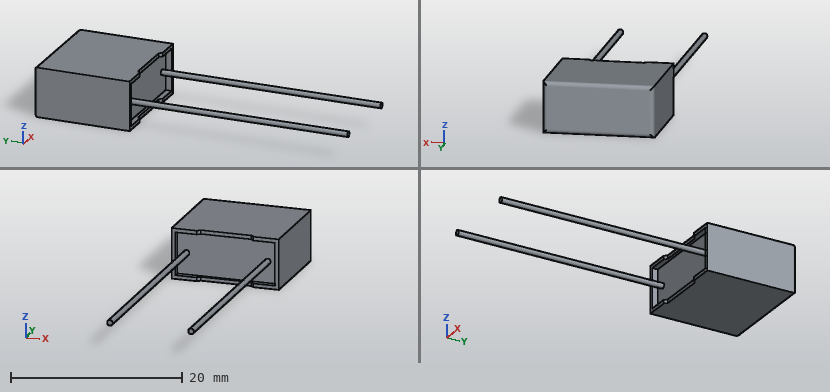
import cadquery as cq

total_length = 39.1
case_width = 13.2
case_depth = 12.1
case_height = 6.2
wall = 0.45
back_fillet = 0.5

notch_depth = 0.35
notch_floor_width = 6.25
notch_mouth_width = notch_floor_width + 2 * notch_depth

potting_recess = 0.75
lead_pitch = 10.0
lead_diameter = 0.7

potting_face = potting_recess
cavity_end = case_depth - wall
lead_tip = case_depth - total_length
lead_length = potting_face - lead_tip


def block_along_y(width, height, start, end):
    """Box centred on the Y axis, from Y = start to Y = end."""
    return (
        cq.Workplane("XY")
        .box(width, end - start, height, centered=(True, False, True))
        .translate((0, start, 0))
    )


def make_case():
    """Hollow case with a rounded back and a notch in each long rim."""
    inner_width = case_width - 2 * wall
    inner_height = case_height - 2 * wall
    shell = block_along_y(case_width, case_height, 0, case_depth).faces(">Y").edges().fillet(back_fillet)
    cavity = block_along_y(inner_width, inner_height, 0, cavity_end)
    notch = (
        cq.Workplane("XY")
        .polyline([
            (-notch_mouth_width / 2, 0),
            (notch_mouth_width / 2, 0),
            (notch_floor_width / 2, notch_depth),
            (-notch_floor_width / 2, notch_depth),
        ])
        .close()
        .extrude(case_height / 2, both=True)
    )
    return shell.cut(cavity).cut(notch)


def make_potting():
    """Solid filling of the case, set back from the rim."""
    return block_along_y(case_width - 2 * wall, case_height - 2 * wall, potting_face, cavity_end)


def make_lead(x):
    """Round wire running in -Y from the face of the potting."""
    return (
        cq.Workplane("XZ", origin=(x, potting_face, 0))
        .circle(lead_diameter / 2)
        .extrude(lead_length)
    )


case = make_case()
potting = make_potting()
leads = [make_lead(side * lead_pitch / 2) for side in (-1, 1)]

result = cq.Compound.makeCompound([case.val(), potting.val(), *[lead.val() for lead in leads]])